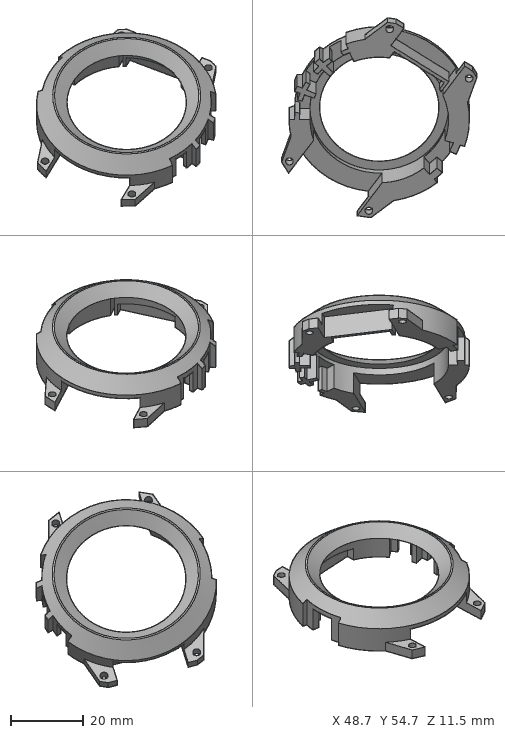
import cadquery as cq
import math

total_height = 11.5
body_radius = 25.0
shoulder_height = 7.7
rim_outer_radius = 20.5
rim_inner_radius = 20.0
opening_radius = 33.0 / 2
dish_bottom_height = 8.4
cavity_radius = 19.2

lug_height = 3.0
lug_hole_diameter = 2.1
lug_hole_x = 13.35
lug_hole_y = 24.55
lug_corner = (15.0, 25.95)
lug_root = (17.35, 17.8)
lug_end_slope = 0.49
front_lug_inner_x = 11.5
rear_lug_inner_x = 10.2
rear_lug_end_y = 27.0
lug_anchor_y = 20.0

window_height = 6.4
rear_slit_inner_x = 9.25
rear_pocket_half_width = 8.4
rear_pocket_height = 3.8
rear_pocket_y = 19.6
rear_wall_thickness = 1.0

button_recess_radius = 23.45
button_pocket_radius = 22.1
button_recess_half_angle = 33.9
tab_start_angle = 9.9
tab_end_angle = 14.1
stem_slot_half_width = 1.9

crown_recess_radius = 23.75
crown_pocket_radius = 21.7
crown_recess_half_angle = 15.5
crown_slot_half_angle = 8.2

slot_height = 7.25

reach = 2 * body_radius


def box(x_min, x_max, y_min, y_max, height):
    """Block standing on Z = 0."""
    return cq.Workplane("XY").box(
        x_max - x_min, y_max - y_min, height, centered=False
    ).translate((x_min, y_min, 0))


def polar(radius, angle):
    turn = math.radians(angle)
    return (radius * math.cos(turn), radius * math.sin(turn))


def ring_sector(inner_radius, outer_radius, start_angle, end_angle, height):
    """Sector of a ring standing on Z = 0."""
    middle_angle = (start_angle + end_angle) / 2
    return (
        cq.Workplane("XY")
        .moveTo(*polar(inner_radius, start_angle))
        .lineTo(*polar(outer_radius, start_angle))
        .threePointArc(polar(outer_radius, middle_angle), polar(outer_radius, end_angle))
        .lineTo(*polar(inner_radius, end_angle))
        .threePointArc(polar(inner_radius, middle_angle), polar(inner_radius, start_angle))
        .close()
        .extrude(height)
    )


def ring_body():
    profile = [
        (cavity_radius, 0),
        (body_radius, 0),
        (body_radius, shoulder_height),
        (rim_outer_radius, total_height),
        (rim_inner_radius, total_height),
        (opening_radius, dish_bottom_height),
        (cavity_radius, dish_bottom_height),
    ]
    return cq.Workplane("XZ").polyline(profile).close().revolve(360, (0, 0, 0), (0, 1, 0))


def cut_front_window(body):
    return body.cut(box(-front_lug_inner_x, front_lug_inner_x, -reach, 0, window_height))


def cut_rear_window(body):
    """Outer recess leaving a flat wall, a slit at its -X end and a shallow inner pocket."""
    wall_outer_y = rear_pocket_y + rear_wall_thickness
    recess = box(-rear_lug_inner_x, rear_lug_inner_x, wall_outer_y, reach, window_height)
    slit = box(-rear_lug_inner_x, -rear_slit_inner_x, 0, reach, window_height)
    pocket = box(-rear_pocket_half_width, rear_pocket_half_width, 0, rear_pocket_y, rear_pocket_height)
    return body.cut(recess).cut(slit).cut(pocket)


def cut_recess_and_pocket(body, recess_radius, pocket_radius, start_angle, end_angle):
    """Full-height outer recess and lower inner pocket over the same angular span."""
    recess = ring_sector(recess_radius, reach, start_angle, end_angle, total_height)
    pocket = ring_sector(opening_radius, pocket_radius, start_angle, end_angle, slot_height)
    return body.cut(recess).cut(pocket)


def cut_button_side(body):
    """Recess split by two standing tabs, with a stem slot through each section."""
    sections = [
        (-button_recess_half_angle, -tab_end_angle),
        (-tab_start_angle, tab_start_angle),
        (tab_end_angle, button_recess_half_angle),
    ]
    stem_slot = box(0, reach, -stem_slot_half_width, stem_slot_half_width, slot_height)
    for start_angle, end_angle in sections:
        middle_angle = (start_angle + end_angle) / 2
        body = cut_recess_and_pocket(
            body, button_recess_radius, button_pocket_radius, start_angle, end_angle
        )
        body = body.cut(stem_slot.rotate((0, 0, 0), (0, 0, 1), middle_angle))
    return body


def cut_crown_side(body):
    """Single recess with a radial-sided slot through its middle."""
    body = cut_recess_and_pocket(
        body, crown_recess_radius, crown_pocket_radius,
        180 - crown_recess_half_angle, 180 + crown_recess_half_angle,
    )
    slot = ring_sector(
        opening_radius, reach, 180 - crown_slot_half_angle, 180 + crown_slot_half_angle, slot_height
    )
    return body.cut(slot)


def lug_end_y(x):
    """Y of the slanted lug end at a given X."""
    return lug_corner[1] + (lug_corner[0] - x) * lug_end_slope


def lug(inner_x):
    """Lug in the +X +Y quadrant with its screw hole."""
    outline = [
        (inner_x, lug_anchor_y),
        (inner_x, lug_end_y(inner_x)),
        lug_corner,
        lug_root,
    ]
    plate = cq.Workplane("XY").polyline(outline).close().extrude(lug_height)
    hole = (
        cq.Workplane("XY")
        .center(lug_hole_x, lug_hole_y)
        .circle(lug_hole_diameter / 2)
        .extrude(lug_height)
    )
    return plate.cut(hole)


def add_lugs(body):
    front_lug = lug(front_lug_inner_x).mirror("XZ")
    rear_lug = lug(rear_lug_inner_x).intersect(box(0, reach, 0, rear_lug_end_y, lug_height))
    for corner_lug in (front_lug, rear_lug):
        body = body.union(corner_lug).union(corner_lug.mirror("YZ"))
    return body


result = ring_body()
result = cut_front_window(result)
result = cut_rear_window(result)
result = cut_button_side(result)
result = cut_crown_side(result)
result = add_lugs(result)